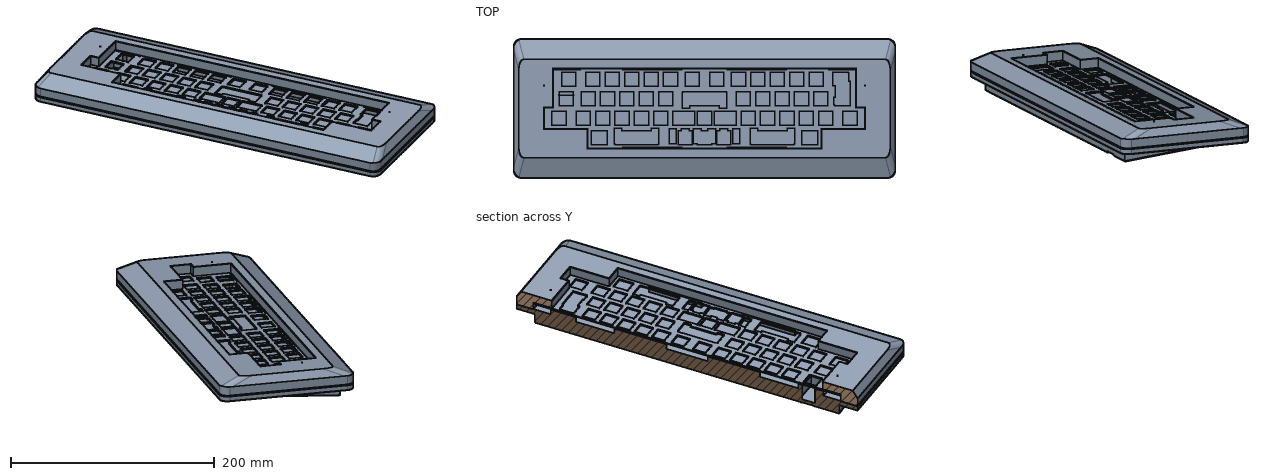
import cadquery as cq
import math

LENGTH = 375.3
DEPTH = 137.0
TOP_Z = 35.3
CORNER_RADIUS = 8.3

SEAM_Z = 17.3
SLOPE_HEIGHT = 8.0
SLOPE_RUN_X = 5.3
SLOPE_RUN_Y = 20.3
REVEAL_HEIGHT = 1.0
REVEAL_DEPTH = 0.5
PINHOLE_DIAMETER = 0.8
PINHOLE_DEPTH = 3.8
PINHOLE_X = 157.5
PINHOLE_Y = 22.5

OPENING_BACK_X = 148.5
OPENING_MIDDLE_X = 157.5
OPENING_FRONT_X = 115.0
OPENING_HALF_Y = 39.0
OPENING_MIDDLE_BACK_Y = 0.8
OPENING_MIDDLE_FRONT_Y = -20.0
OPENING_CHAMFER = 0.5

CAVITY_LENGTH = 337.7
CAVITY_DEPTH = 94.0
OPENING_HEIGHT = 9.8
PLATE_TOP_Z = TOP_Z - OPENING_HEIGHT
PLATE_THICKNESS = 1.5
PLATE_BOTTOM_Z = PLATE_TOP_Z - PLATE_THICKNESS

PITCH = 19.05
SWITCH_SIZE = 14.0
ROW_Y = [row * PITCH for row in (1.5, 0.5, -0.5, -1.5)]
PAIRED_SWITCHES = [
    (ROW_Y[0], (0.625, 1.75, 2.75, 3.75, 4.75, 5.75)),
    (ROW_Y[1], (2, 3, 4, 5, 6)),
    (ROW_Y[2], (2.25, 3.25, 4.25, 5.25, 6.25, 7.5)),
    (ROW_Y[3], (1,)),
]
LEFT_SWITCHES = [(ROW_Y[0], 7), (ROW_Y[1], 7.125)]
WIDE_SWITCH_WIDTH = 21.8
WIDE_SWITCH_X = 20.3
CORNER_SWITCH_WIDTH = 15.8
CORNER_SWITCH_X = 103.5

STABILISER_WIDTH = 44.0
STABILISER_FOOT_WIDTH = 7.5
STABILISER_FOOT_DROP = 2.3
STABILISER_CORNER_RADIUS = 1.5
STABILISER_X = 3.5 * PITCH
SPACE_SLOT_X = 31.0
SPACE_SLOT_WIDTH = 6.8
SPACE_SLOT_BACK_Y = -20.0
SPACE_SLOT_FRONT_Y = -34.5
CENTRE_CUTOUT_WIDTH = 21.8
SPACE_RELIEF_WIDTH = 8.0

ENTER_LEFT_X = 126.0
ENTER_RIGHT_X = 142.0
ENTER_WAIST_X = 128.5
ENTER_FOOT_X = 127.2
ENTER_SIDE_X = 143.0
ENTER_SHOULDER_Y = 26.5
ENTER_WAIST_BACK_Y = 22.0
ENTER_WAIST_FRONT_Y = 11.0

PAD_FACE_Y = 38.0
INNER_PAD = (22.5, 80.3)
OUTER_PAD = (122.0, 150.0)

BOTTOM_Z = 12.0
FLOOR_Z = SEAM_Z + REVEAL_HEIGHT
BOTTOM_CHAMFER = 0.8
FOOT_HALF_X = 167.7
FOOT_HALF_Y = 58.5
FOOT_SLOPE_DEGREES = 5.0
FOOT_CHAMFER = 1.0

PIT_LEFT_X = -150.0
PIT_RIGHT_X = -124.2
PIT_FRONT_Y = 13.0
PIT_FLOOR_Z = 6.5
BAY_LEFT_X = -140.5
BAY_RIGHT_X = -127.0
BAY_BACK_Y = 47.0
NOTCH_X = -133.2
NOTCH_WIDTH = 17.0
NOTCH_HEIGHT = 2.0
NOTCH_RADIUS = 1.5


def block(x_range, y_range, z_range):
    """Box between the two ends given for each axis."""
    x0, x1 = x_range
    y0, y1 = y_range
    z0, z1 = z_range
    return cq.Workplane("XY").box(x1 - x0, y1 - y0, z1 - z0, centered=False).translate((x0, y0, z0))


def rounded_slab(length, depth, radius, bottom, top):
    slab = cq.Workplane("XY").workplane(offset=bottom).rect(length, depth).extrude(top - bottom)
    return slab.edges("|Z").fillet(radius)


def cavity(bottom, top):
    return cq.Workplane("XY").workplane(offset=bottom).rect(CAVITY_LENGTH, CAVITY_DEPTH).extrude(top - bottom)


def key_opening():
    right_side = [
        (OPENING_BACK_X, OPENING_HALF_Y),
        (OPENING_BACK_X, OPENING_MIDDLE_BACK_Y),
        (OPENING_MIDDLE_X, OPENING_MIDDLE_BACK_Y),
        (OPENING_MIDDLE_X, OPENING_MIDDLE_FRONT_Y),
        (OPENING_FRONT_X, OPENING_MIDDLE_FRONT_Y),
        (OPENING_FRONT_X, -OPENING_HALF_Y),
    ]
    left_side = [(-x, y) for x, y in reversed(right_side)]
    outline = cq.Workplane("XY").workplane(offset=PLATE_BOTTOM_Z).polyline(right_side + left_side).close()
    return outline.extrude(TOP_Z - PLATE_BOTTOM_Z)


def make_top_case():
    wall_top_z = TOP_Z - SLOPE_HEIGHT
    reveal_top_z = SEAM_Z + REVEAL_HEIGHT
    wall = rounded_slab(LENGTH, DEPTH, CORNER_RADIUS, reveal_top_z, wall_top_z)
    reveal = rounded_slab(
        LENGTH - 2 * REVEAL_DEPTH,
        DEPTH - 2 * REVEAL_DEPTH,
        CORNER_RADIUS - REVEAL_DEPTH,
        SEAM_Z,
        reveal_top_z,
    )
    slope = (
        cq.Workplane("XY")
        .workplane(offset=wall_top_z)
        .rect(LENGTH, DEPTH)
        .workplane(offset=SLOPE_HEIGHT)
        .rect(LENGTH - 2 * SLOPE_RUN_X, DEPTH - 2 * SLOPE_RUN_Y)
        .loft()
    )
    slope = slope.edges("not #Z").fillet(CORNER_RADIUS)
    slope = slope.intersect(rounded_slab(LENGTH, DEPTH, CORNER_RADIUS, wall_top_z, TOP_Z))
    pinholes = (
        cq.Workplane("XY")
        .workplane(offset=TOP_Z - PINHOLE_DEPTH)
        .pushPoints([(-PINHOLE_X, PINHOLE_Y), (PINHOLE_X, PINHOLE_Y)])
        .circle(PINHOLE_DIAMETER / 2)
        .extrude(PINHOLE_DEPTH)
    )
    body = wall.union(reveal).union(slope)
    body = body.cut(cavity(SEAM_Z, PLATE_TOP_Z)).cut(key_opening())
    opening_rim = body.faces(">Z").val().innerWires()[0]
    return body.newObject(opening_rim.Edges()).chamfer(OPENING_CHAMFER).cut(pinholes)


def plate_cut(x_range, y_range):
    return block(x_range, y_range, (PLATE_BOTTOM_Z, PLATE_TOP_Z))


def switch_cut(x, y, width=SWITCH_SIZE):
    half_height = SWITCH_SIZE / 2
    return plate_cut((x - width / 2, x + width / 2), (y - half_height, y + half_height))


def stabiliser_cut(x, y, foot_side):
    """Wide cutout with a foot at each end, the feet pointing to +Y or -Y as foot_side is 1 or -1."""
    half_width = STABILISER_WIDTH / 2
    far_side = "<Y" if foot_side > 0 else ">Y"
    body = switch_cut(x, y, STABILISER_WIDTH)
    body = body.faces(far_side).edges("|Z").fillet(STABILISER_CORNER_RADIUS)
    foot_y = sorted((y, y + foot_side * (SWITCH_SIZE / 2 + STABILISER_FOOT_DROP)))
    left_foot = plate_cut((x - half_width, x - half_width + STABILISER_FOOT_WIDTH), foot_y)
    right_foot = plate_cut((x + half_width - STABILISER_FOOT_WIDTH, x + half_width), foot_y)
    return body.union(left_foot).union(right_foot)


def enter_cut():
    back_y = ROW_Y[0] + SWITCH_SIZE / 2
    front_y = ROW_Y[1] - SWITCH_SIZE / 2
    outline = [
        (ENTER_LEFT_X, back_y),
        (ENTER_RIGHT_X, back_y),
        (ENTER_RIGHT_X, ENTER_SHOULDER_Y),
        (ENTER_SIDE_X, ENTER_SHOULDER_Y),
        (ENTER_SIDE_X, front_y),
        (ENTER_FOOT_X, front_y),
        (ENTER_FOOT_X, ENTER_WAIST_FRONT_Y),
        (ENTER_WAIST_X, ENTER_WAIST_FRONT_Y),
        (ENTER_WAIST_X, ENTER_WAIST_BACK_Y),
        (ENTER_LEFT_X, ENTER_WAIST_BACK_Y),
    ]
    base = cq.Workplane("XY").workplane(offset=PLATE_BOTTOM_Z)
    prism = base.polyline(outline).close().extrude(PLATE_THICKNESS)
    middle_z = PLATE_TOP_Z - PLATE_THICKNESS / 2
    rounded_corners = (
        cq.selectors.NearestToPointSelector((ENTER_RIGHT_X, back_y, middle_z))
        + cq.selectors.NearestToPointSelector((ENTER_FOOT_X, front_y, middle_z))
    )
    return prism.edges(rounded_corners).fillet(STABILISER_CORNER_RADIUS)


def space_bar_cuts():
    """Cutouts in the middle of the front row: a wide centre, a relief and a slot on each side."""
    slot_y = (SPACE_SLOT_FRONT_Y, SPACE_SLOT_BACK_Y)
    centre_half = CENTRE_CUTOUT_WIDTH / 2
    cuts = [switch_cut(0, ROW_Y[3])]
    for side in (-1, 1):
        slot_x = side * SPACE_SLOT_X
        relief_x = side * PITCH
        end_x = sorted((side * centre_half, side * (centre_half - STABILISER_FOOT_WIDTH)))
        cuts.append(plate_cut(end_x, slot_y))
        cuts.append(plate_cut((slot_x - SPACE_SLOT_WIDTH / 2, slot_x + SPACE_SLOT_WIDTH / 2), slot_y))
        cuts.append(
            plate_cut(
                (relief_x - SPACE_RELIEF_WIDTH / 2, relief_x + SPACE_RELIEF_WIDTH / 2),
                (ROW_Y[3], SPACE_SLOT_BACK_Y),
            )
        )
    return cuts


def pad_places():
    """X range and Y side of every support pad: two pairs behind the keys, one pair in front."""
    places = []
    for (near, far), y_sides in ((INNER_PAD, (1, -1)), (OUTER_PAD, (1,))):
        for y_side in y_sides:
            places.append(((near, far), y_side))
            places.append(((-far, -near), y_side))
    return places


def make_plate():
    cuts = [switch_cut(-column * PITCH, y) for y, column in LEFT_SWITCHES]
    for y, columns in PAIRED_SWITCHES:
        for column in columns:
            cuts.append(switch_cut(-column * PITCH, y))
            cuts.append(switch_cut(column * PITCH, y))
    cuts.append(switch_cut(0, ROW_Y[2]))
    for side in (-1, 1):
        cuts.append(switch_cut(side * WIDE_SWITCH_X, ROW_Y[2], WIDE_SWITCH_WIDTH))
        cuts.append(switch_cut(side * CORNER_SWITCH_X, ROW_Y[3], CORNER_SWITCH_WIDTH))
        cuts.append(stabiliser_cut(side * STABILISER_X, ROW_Y[3], 1))
    cuts.append(stabiliser_cut(0, ROW_Y[1], -1))
    cuts.append(enter_cut())
    cuts.extend(space_bar_cuts())
    for x_range, y_side in pad_places():
        slot_y = sorted((y_side * PAD_FACE_Y, y_side * OPENING_HALF_Y))
        cuts.append(plate_cut(x_range, slot_y))
    plate = cavity(PLATE_BOTTOM_Z, PLATE_TOP_Z)
    for cut in cuts:
        plate = plate.cut(cut)
    return plate


def make_foot():
    slope = math.radians(FOOT_SLOPE_DEGREES)
    back_z = -FOOT_CHAMFER * math.sin(slope)
    front_z = back_z + 2 * FOOT_HALF_Y * math.tan(slope)
    side_outline = [
        (-FOOT_HALF_Y, SEAM_Z),
        (-FOOT_HALF_Y, front_z),
        (FOOT_HALF_Y, back_z),
        (FOOT_HALF_Y, SEAM_Z),
    ]
    foot = cq.Workplane("YZ").polyline(side_outline).close().extrude(FOOT_HALF_X, both=True)
    return foot.faces("<Z").chamfer(FOOT_CHAMFER)


def connector_pit():
    pit = block((PIT_LEFT_X, PIT_RIGHT_X), (PIT_FRONT_Y, PAD_FACE_Y), (PIT_FLOOR_Z, PLATE_BOTTOM_Z))
    bay = block((BAY_LEFT_X, BAY_RIGHT_X), (PAD_FACE_Y, BAY_BACK_Y), (PIT_FLOOR_Z, PLATE_BOTTOM_Z))
    return pit.union(bay)


def cable_notch():
    half_width = NOTCH_WIDTH / 2
    notch = block(
        (NOTCH_X - half_width, NOTCH_X + half_width), (0, FOOT_HALF_Y), (-NOTCH_HEIGHT, NOTCH_HEIGHT)
    )
    return notch.edges("|Y and >Z").fillet(NOTCH_RADIUS)


def make_bottom_case():
    tray = rounded_slab(LENGTH, DEPTH, CORNER_RADIUS, BOTTOM_Z, SEAM_Z)
    tray = tray.faces("<Z").chamfer(BOTTOM_CHAMFER)
    body = tray.union(make_foot()).union(cavity(SEAM_Z, FLOOR_Z))
    for x_range, y_side in pad_places():
        pad_y = sorted((y_side * PAD_FACE_Y, y_side * CAVITY_DEPTH / 2))
        body = body.union(block(x_range, pad_y, (FLOOR_Z, PLATE_BOTTOM_Z)))
    return body.cut(connector_pit()).cut(cable_notch())


top_case = make_top_case()
plate = make_plate()
bottom_case = make_bottom_case()

result = cq.Compound.makeCompound([top_case.val(), plate.val(), bottom_case.val()])